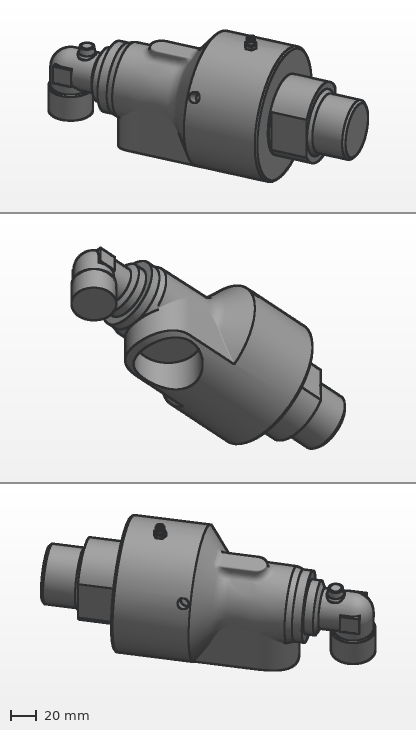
import cadquery as cq
import math


COLLAR_START_X = 42.0
COLLAR_RIM_X = 45.2
COLLAR_DIAMETER = 43.3
FLANGE_START_X = 52.7
FLANGE_END_X = 60.5
FLANGE_DIAMETER = 57.0
BARREL_START_X = 66.0
BARREL_START_RADIUS = 30.3
BARREL_END_X = 112.5
BARREL_END_RADIUS = 30.8
CONE_START_X = 122.7
CONE_START_RADIUS = 35.8
DRUM_START_X = 137.5
DRUM_END_X = 199.5
DRUM_DIAMETER = 108.0
DRUM_RADIUS = DRUM_DIAMETER / 2
DRUM_CHAMFER = 1.5

ROTOR_DIAMETER = 65.0
ROTOR_END_X = 230.5
FLATS_START_X = 200.5
FLATS_HALF_WIDTH = 27.7
NECK_DIAMETER = 53.8
NECK_END_X = 233.5
THREAD_DIAMETER = 47.8
THREAD_CHAMFER = 2.0
OVERALL_LENGTH = 261.0

SOCKET_DIAMETER = 35.0
SOCKET_BOTTOM_Z = -38.0
SOCKET_TOP_Z = -16.7
SOCKET_SHOULDER = 1.3
ELBOW_DIAMETER = 32.0
ELBOW_X = SOCKET_DIAMETER / 2
PAD_SIDE = 15.1
PAD_X = 17.2
PAD_SPAN_Y = 32.5
PLUG_X = 31.3
PLUG_TOP_Z = 22.7
PLUG_TOP_DIAMETER = 11.2
PLUG_BASE_DIAMETER = 13.0
PLUG_FLARE = 1.5
PLUG_EDGE_WIDTH = 1.0
PLUG_EDGE_HEIGHT = 0.5

PORT_RADIUS = 30.0
PORT_X = FLANGE_END_X + PORT_RADIUS
PORT_ROOT_ROUND = 0.8
BORE_DIAMETER = 53.8
BORE_X = 95.3
BORE_TOP_Z = -21.0

RIB_X = 94.7
RIB_RADIUS = 9.1
RIB_TOP_Z = 37.3
RIB_EDGE_ROUND = 1.3
RIB_ROOT_ROUND = 5.5

DRUM_HOLE_DIAMETER = 8.5
DRUM_HOLE_X = 143.3
DRUM_HOLE_ANGLE = 30
DRUM_HOLE_DEPTH = 15.7

NIPPLE_X = 170.7
NIPPLE_SINK = 1.3
NIPPLE_HEX_ACROSS_FLATS = 8.5
NIPPLE_HEX_TOP_Z = 57.0
NIPPLE_STEM_DIAMETER = 5.5
NIPPLE_RIM_DIAMETER = 6.8
NIPPLE_RIM_HEIGHT = 1.0
NIPPLE_RIM_TOP_Z = 61.3
NIPPLE_PIN_DIAMETER = 1.5
NIPPLE_HEAD_HEIGHT = 0.5
NIPPLE_TOP_Z = 63.0

CURVED_JOINTS = cq.selectors.TypeSelector("BSPLINE") + cq.selectors.TypeSelector("HYPERBOLA")


def make_housing():
    """Collar, flange, barrel, cone, drum and rotor as one turned body."""
    neck_radius = NECK_DIAMETER / 2
    thread_radius = THREAD_DIAMETER / 2
    profile = (
        cq.Workplane("XY")
        .moveTo(ELBOW_X, 0)
        .lineTo(ELBOW_X, ELBOW_DIAMETER / 2)
        .lineTo(COLLAR_START_X, ELBOW_DIAMETER / 2)
        .lineTo(COLLAR_RIM_X, COLLAR_DIAMETER / 2)
        .lineTo(FLANGE_START_X, COLLAR_DIAMETER / 2)
        .lineTo(FLANGE_START_X, FLANGE_DIAMETER / 2)
        .lineTo(FLANGE_END_X, FLANGE_DIAMETER / 2)
        .lineTo(BARREL_START_X, BARREL_START_RADIUS)
        .lineTo(BARREL_END_X, BARREL_END_RADIUS)
        .tangentArcPoint((CONE_START_X, CONE_START_RADIUS), relative=False)
        .lineTo(DRUM_START_X, DRUM_RADIUS)
        .lineTo(DRUM_END_X - DRUM_CHAMFER, DRUM_RADIUS)
        .lineTo(DRUM_END_X, DRUM_RADIUS - DRUM_CHAMFER)
        .lineTo(DRUM_END_X, ROTOR_DIAMETER / 2)
        .lineTo(ROTOR_END_X, ROTOR_DIAMETER / 2)
        .lineTo(ROTOR_END_X, neck_radius)
        .lineTo(NECK_END_X, thread_radius)
        .lineTo(OVERALL_LENGTH - THREAD_CHAMFER, thread_radius)
        .lineTo(OVERALL_LENGTH, thread_radius - THREAD_CHAMFER)
        .lineTo(OVERALL_LENGTH, 0)
        .close()
    )
    return profile.revolve(360, (0, 0, 0), (1, 0, 0))


def cut_wrench_flats(body):
    """Two parallel flats on the rotor, facing +Y and -Y."""
    length = ROTOR_END_X - FLATS_START_X
    for side in (1, -1):
        waste = cq.Workplane("XY").box(length, ROTOR_DIAMETER, ROTOR_DIAMETER).translate(
            ((FLATS_START_X + ROTOR_END_X) / 2, side * (FLATS_HALF_WIDTH + ROTOR_DIAMETER / 2), 0)
        )
        body = body.cut(waste)
    return body


def add_port(body):
    """Round-nosed block below the axis, trimmed to the drum's outer cylinder."""
    block = (
        cq.Workplane("XY")
        .moveTo(DRUM_START_X, -PORT_RADIUS)
        .lineTo(PORT_X, -PORT_RADIUS)
        .threePointArc((PORT_X - PORT_RADIUS, 0), (PORT_X, PORT_RADIUS))
        .lineTo(DRUM_START_X, PORT_RADIUS)
        .close()
        .extrude(-DRUM_DIAMETER)
    )
    envelope = cq.Workplane("YZ").circle(DRUM_RADIUS).extrude(OVERALL_LENGTH)
    along_flanks = cq.selectors.BoxSelector(
        (PORT_X, -DRUM_RADIUS, -DRUM_RADIUS), (DRUM_START_X, DRUM_RADIUS, 0)
    )
    joined = body.union(block.intersect(envelope))
    return joined.edges(along_flanks & CURVED_JOINTS).fillet(PORT_ROOT_ROUND)


def make_port_bore():
    """Blind vertical bore opening at the bottom of the port."""
    return (
        cq.Workplane("XY", origin=(BORE_X, 0, BORE_TOP_Z))
        .circle(BORE_DIAMETER / 2)
        .extrude(-DRUM_DIAMETER)
    )


def add_rib(body):
    """Flat-topped rib with a round nose, running back into the cone and blended at its root."""
    rib = (
        cq.Workplane("XY")
        .moveTo(DRUM_START_X, -RIB_RADIUS)
        .lineTo(RIB_X, -RIB_RADIUS)
        .threePointArc((RIB_X - RIB_RADIUS, 0), (RIB_X, RIB_RADIUS))
        .lineTo(DRUM_START_X, RIB_RADIUS)
        .close()
        .extrude(RIB_TOP_Z)
        .faces(">Z")
        .edges("not(>X)")
        .fillet(RIB_EDGE_ROUND)
    )
    around_rib = cq.selectors.BoxSelector(
        (BARREL_START_X, -2 * RIB_RADIUS, 0), (DRUM_START_X, 2 * RIB_RADIUS, DRUM_RADIUS)
    )
    return body.union(rib).edges(around_rib & CURVED_JOINTS).fillet(RIB_ROOT_ROUND)


def make_elbow():
    """Spherical corner, socket, side pads and vent plug."""
    elbow_radius = ELBOW_DIAMETER / 2
    socket_radius = SOCKET_DIAMETER / 2
    down_leg = (
        cq.Workplane("XZ")
        .moveTo(0, SOCKET_BOTTOM_Z)
        .lineTo(socket_radius, SOCKET_BOTTOM_Z)
        .lineTo(socket_radius, SOCKET_TOP_Z)
        .lineTo(elbow_radius, SOCKET_TOP_Z + SOCKET_SHOULDER)
        .lineTo(elbow_radius, 0)
        .threePointArc(
            (elbow_radius * math.sqrt(0.5), elbow_radius * math.sqrt(0.5)), (0, elbow_radius)
        )
        .close()
        .revolve(360, (0, 0, 0), (0, 1, 0))
        .translate((ELBOW_X, 0, 0))
    )
    pads = cq.Workplane("XY").box(PAD_SIDE, PAD_SPAN_Y, PAD_SIDE).translate((PAD_X, 0, 0))
    plug = (
        cq.Workplane("XZ")
        .lineTo(PLUG_BASE_DIAMETER / 2 + PLUG_FLARE, 0)
        .lineTo(PLUG_BASE_DIAMETER / 2 + PLUG_FLARE, elbow_radius - PLUG_FLARE)
        .lineTo(PLUG_BASE_DIAMETER / 2, elbow_radius + PLUG_FLARE / 2)
        .lineTo(PLUG_TOP_DIAMETER / 2, PLUG_TOP_Z - PLUG_EDGE_HEIGHT)
        .lineTo(PLUG_TOP_DIAMETER / 2 - PLUG_EDGE_WIDTH, PLUG_TOP_Z)
        .lineTo(0, PLUG_TOP_Z)
        .close()
        .revolve(360, (0, 0, 0), (0, 1, 0))
        .translate((PLUG_X, 0, 0))
    )
    return down_leg.union(pads).union(plug)


def cut_drum_holes(body):
    """Blind radial holes, one on each flank of the drum."""
    for angle in (DRUM_HOLE_ANGLE, 180 - DRUM_HOLE_ANGLE):
        hole = (
            cq.Workplane("XZ", origin=(DRUM_HOLE_X, DRUM_RADIUS - DRUM_HOLE_DEPTH, 0))
            .circle(DRUM_HOLE_DIAMETER / 2)
            .extrude(-2 * DRUM_HOLE_DEPTH)
            .rotate((0, 0, 0), (1, 0, 0), angle)
        )
        body = body.cut(hole)
    return body


def make_grease_nipple():
    """Hexagonal base, round stem, retaining rim and a flat head on a thin pin."""
    hexagon_across_corners = NIPPLE_HEX_ACROSS_FLATS / math.cos(math.pi / 6)
    nipple = (
        cq.Workplane("XY", origin=(NIPPLE_X, 0, DRUM_RADIUS - NIPPLE_SINK))
        .polygon(6, hexagon_across_corners)
        .extrude(NIPPLE_HEX_TOP_Z - DRUM_RADIUS + NIPPLE_SINK)
    )
    for diameter, bottom, top in (
        (NIPPLE_STEM_DIAMETER, DRUM_RADIUS, NIPPLE_RIM_TOP_Z),
        (NIPPLE_RIM_DIAMETER, NIPPLE_RIM_TOP_Z - NIPPLE_RIM_HEIGHT, NIPPLE_RIM_TOP_Z),
        (NIPPLE_PIN_DIAMETER, NIPPLE_RIM_TOP_Z, NIPPLE_TOP_Z),
        (NIPPLE_STEM_DIAMETER, NIPPLE_TOP_Z - NIPPLE_HEAD_HEIGHT, NIPPLE_TOP_Z),
    ):
        disc = (
            cq.Workplane("XY", origin=(NIPPLE_X, 0, bottom))
            .circle(diameter / 2)
            .extrude(top - bottom)
        )
        nipple = nipple.union(disc)
    return nipple


housing = cut_wrench_flats(make_housing())
housing = add_port(housing)
housing = add_rib(housing)
housing = housing.cut(make_port_bore())
housing = cut_drum_holes(housing)
result = housing.union(make_elbow()).union(make_grease_nipple())